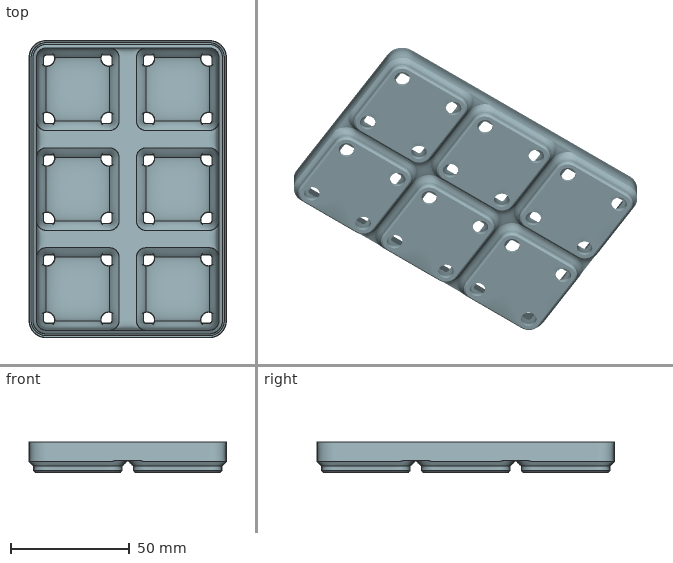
import math

import cadquery as cq

columns = 2
rows = 3
pitch = 42.0
edge_clearance = 0.5
height = 12.8
width = columns * pitch - 2 * edge_clearance
length = rows * pitch - 2 * edge_clearance

cell_radius = 7.8
outer_radius = cell_radius - edge_clearance

foot_chamfer = 0.8
foot_straight = 1.9
foot_flare = 2.4
foot_height = foot_chamfer + foot_straight + foot_flare

wall = 3.1
pocket_step = 0.8
slope_top = 5.0
ledge_height = slope_top + pocket_step
floor_thickness = 1.0
slope_depth = slope_top - floor_thickness
pocket_inset = edge_clearance + wall

rim_width = 0.9
groove_flat = 0.8
groove_bottom = 10.9
ridge_height = 12.6

hole_diameter = 6.5
hole_offset = 13.0
hole_depth = 2.0

cell_centers = [
    ((column - (columns - 1) / 2) * pitch, (row - (rows - 1) / 2) * pitch)
    for column in range(columns)
    for row in range(rows)
]


def rounded_block(size_x, size_y, radius, bottom, top, shrink=0):
    """Rounded block whose outline moves inward by shrink from bottom to top."""
    rise = top - bottom
    outline = cq.Sketch().rect(size_x, size_y).vertices().fillet(radius)
    taper = math.degrees(math.atan2(shrink, rise))
    return cq.Workplane("XY").workplane(offset=bottom).placeSketch(outline).extrude(rise, taper=taper)


def cell_block(inset, bottom, top, shrink=0):
    """Block that follows the cell outline, moved inward by inset."""
    size = pitch - 2 * inset
    return rounded_block(size, size, cell_radius - inset, bottom, top, shrink)


def shell_block(inset, bottom, top, shrink=0):
    """Block that follows the shell outline, moved inward by inset."""
    return rounded_block(
        width - 2 * inset, length - 2 * inset, outer_radius - inset, bottom, top, shrink
    )


def make_foot():
    band_bottom = foot_chamfer
    band_top = foot_chamfer + foot_straight
    chamfer = cell_block(foot_flare + foot_chamfer, 0, band_bottom, -foot_chamfer)
    band = cell_block(foot_flare, band_bottom, band_top)
    flare = cell_block(foot_flare, band_top, foot_height, -foot_flare)
    return chamfer.union(band).union(flare)


def make_pocket():
    slope = cell_block(pocket_inset + slope_depth, floor_thickness, slope_top, -slope_depth)
    step = cell_block(pocket_inset, slope_top, ledge_height)
    return slope.union(step)


def make_holes():
    return (
        cq.Workplane("XY")
        .rect(2 * hole_offset, 2 * hole_offset, forConstruction=True)
        .vertices()
        .circle(hole_diameter / 2)
        .extrude(hole_depth)
    )


def make_groove():
    slope_start = rim_width + groove_flat
    channel = shell_block(rim_width, groove_bottom, height)
    core = shell_block(slope_start, groove_bottom, ridge_height, wall - slope_start)
    return channel.cut(core)


def at_cells(solid):
    """Copies of the solid placed at every cell centre."""
    copies = cq.Workplane("XY")
    for x, y in cell_centers:
        copies = copies.add(solid.translate((x, y, 0)))
    return copies.combine()


shell = shell_block(0, foot_height, height)
feet = at_cells(make_foot()).intersect(shell_block(0, 0, foot_height))
cavity = shell_block(wall, ledge_height, height)

result = (
    shell.union(feet)
    .cut(cavity)
    .cut(make_groove())
    .cut(at_cells(make_pocket()))
    .cut(at_cells(make_holes()))
)